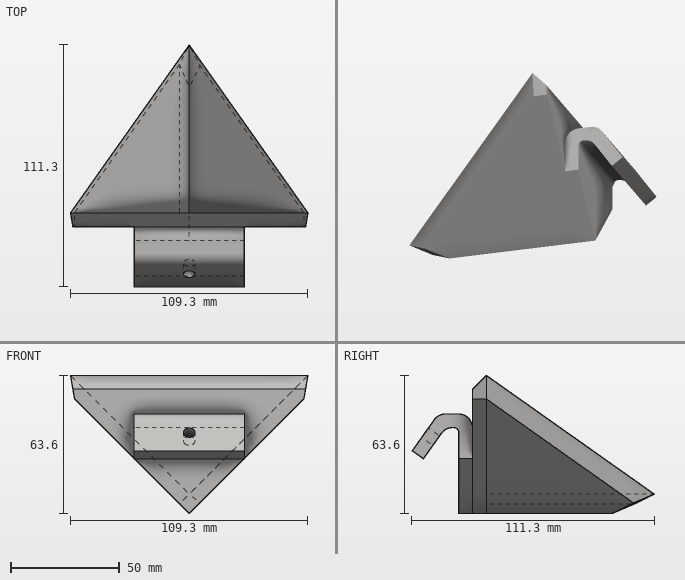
import cadquery as cq
import math

thickness = 6.3
wing_length = 77.3
clip_half_width = 25.4
clip_top = 45.9
clip_reach = 27.7
clip_corner = 15.7
bend_radius = 6.3
inner_corner_radius = 2.2
hole_diameter = 5.3
hole_from_tip = 10.2
tip_set_back = 19.5

valley_height = thickness * math.sqrt(2)
side_step = thickness / math.sqrt(2)
half_width = wing_length / math.sqrt(2)
total_height = valley_height + half_width
bevel = thickness * math.sqrt(2)
outer_length = wing_length - bevel
outer_corner = side_step + outer_length / math.sqrt(2)
clip_slope = math.atan(1 / math.sqrt(2))
plate_front = -thickness


def make_wing(side, overlap):
    """Triangular plate with a bevelled long edge, carried past the valley by overlap."""

    def triangle(length, depth):
        """Outline at a depth below the inner face."""
        drop = depth / math.sqrt(2)

        def corner(up_slope, y):
            rise = up_slope / math.sqrt(2)
            return cq.Vector(side * (drop + rise), y, valley_height - drop + rise)

        corners = [corner(-overlap, 0), corner(length, 0), corner(-overlap, length + overlap)]
        return cq.Wire.makePolygon(corners, close=True)

    inner = triangle(wing_length, 0)
    outer = triangle(outer_length, thickness)
    return cq.Workplane(cq.Solid.makeLoft([inner, outer], True))


def trim_tip(wing):
    """Cut the overlapping end of a wing back to the sloping plane at the pointed tip."""
    valley_tip = cq.Vector(0, wing_length, valley_height)
    seam_tip = cq.Vector(-side_step, outer_length, side_step)
    lowest_tip = cq.Vector(0, wing_length - tip_set_back, 0)
    normal = (lowest_tip - valley_tip).cross(seam_tip - valley_tip)
    if normal.y < 0:
        normal = -normal
    tip_plane = cq.Plane(origin=valley_tip, xDir=seam_tip - valley_tip, normal=normal)
    size = 2 * wing_length
    waste = cq.Workplane(tip_plane).rect(size, size).extrude(size)
    return wing.cut(waste)


def make_back_plate():
    """Plate closing the back of the V, chamfered along its top front edge."""
    outline = [
        (0, 0),
        (outer_corner, outer_corner),
        (half_width, total_height),
        (-half_width, total_height),
        (-outer_corner, outer_corner),
    ]
    plate = cq.Workplane("XZ").polyline(outline).close().extrude(thickness)
    chamfer_waste = (
        cq.Workplane("YZ")
        .polyline([(0, total_height), (plate_front, total_height), (plate_front, total_height - thickness)])
        .close()
        .extrude(half_width, both=True)
    )
    return plate.cut(chamfer_waste)


def make_clip():
    """Bent plate with a pointed back leg and a drilled sloping leg."""
    run = math.sin(clip_slope)
    fall = math.cos(clip_slope)
    tip_y = plate_front - clip_reach
    tip_z = clip_top - (clip_reach - clip_corner) * fall / run
    inner_corner = clip_corner - thickness * math.tan((math.pi / 2 - clip_slope) / 2)
    back_leg_y = plate_front - thickness
    outline = [
        (plate_front, 0),
        (plate_front, clip_top),
        (plate_front - clip_corner, clip_top),
        (tip_y, tip_z),
        (tip_y + thickness * fall, tip_z - thickness * run),
        (plate_front - inner_corner, clip_top - thickness),
        (back_leg_y, clip_top - thickness),
        (back_leg_y, 0),
    ]
    clip = cq.Workplane("YZ").polyline(outline).close().extrude(clip_half_width, both=True)

    def bend_edge(y, z):
        return cq.selectors.NearestToPointSelector((0, y, z))

    for y, z in (outline[1], outline[2], outline[5]):
        clip = clip.edges("|X").edges(bend_edge(y, z)).fillet(bend_radius)
    clip = clip.edges("|X").edges(bend_edge(*outline[6])).fillet(inner_corner_radius)

    for side in (-1, 1):
        waste = (
            cq.Workplane("XZ", origin=(0, plate_front, 0))
            .polyline([(0, 0), (side * clip_half_width, 0), (side * clip_half_width, clip_half_width)])
            .close()
            .extrude(thickness)
        )
        clip = clip.cut(waste)

    hole_centre = (0, tip_y + hole_from_tip * run, tip_z + hole_from_tip * fall)
    into_leg = cq.Vector(0, fall, -run)
    hole = cq.Solid.makeCylinder(hole_diameter / 2, thickness, cq.Vector(*hole_centre), into_leg)
    return clip.cut(cq.Workplane(hole))


left_wing = make_wing(side=-1, overlap=0)
right_wing = trim_tip(make_wing(side=1, overlap=thickness))
back_plate = make_back_plate()
clip = make_clip()

bodies = [left_wing, right_wing, back_plate, clip]
result = cq.Compound.makeCompound([body.solids().val() for body in bodies])